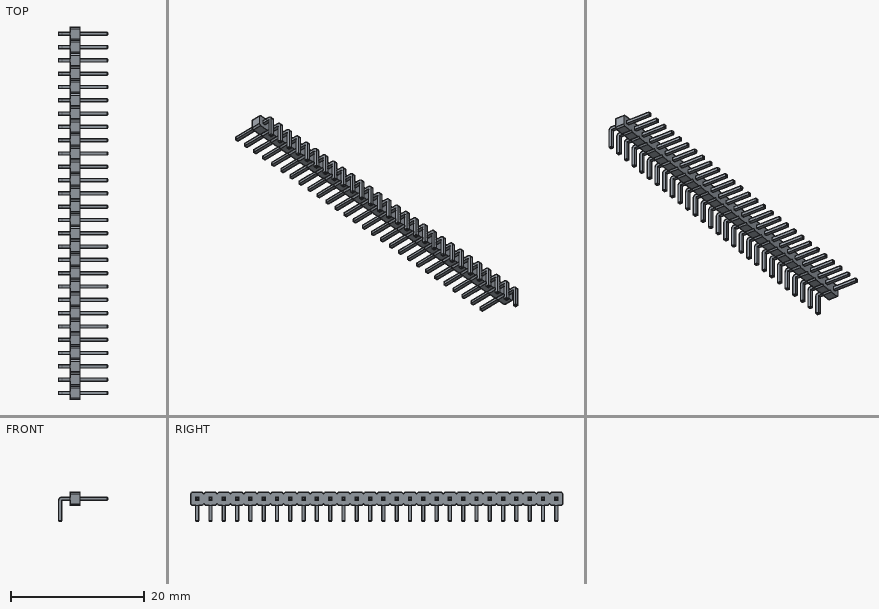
import cadquery as cq

row_length = 56.0
pin_count = 28
pitch = row_length / pin_count

housing_width = 1.5
housing_height = pitch
cell_chamfer = 0.25

pin_size = 0.5
pin_half = pin_size / 2
bend_radius = pin_size
tip_chamfer = pin_size / 4
overall_width = 7.45
overall_height = 4.4
leg_to_housing = 1.75

leg_outer_x = -pin_half
leg_inner_x = pin_half
leg_bottom_z = housing_height - overall_height
housing_left_x = leg_outer_x + leg_to_housing
pin_tip_x = leg_outer_x + overall_width
pin_bottom_z = housing_height / 2 - pin_half
pin_top_z = pin_bottom_z + pin_size
row_start_y = -row_length / 2


def make_housing():
    """Bar along Y whose top and bottom carry a V-groove between neighbouring cells."""
    top_edge = []
    bottom_edge = []
    for index in range(pin_count):
        cell_start = row_start_y + index * pitch
        cell_end = cell_start + pitch
        top_edge += [
            (cell_start, housing_height - cell_chamfer),
            (cell_start + cell_chamfer, housing_height),
            (cell_end - cell_chamfer, housing_height),
        ]
        bottom_edge += [
            (cell_start, cell_chamfer),
            (cell_start + cell_chamfer, 0),
            (cell_end - cell_chamfer, 0),
        ]
    row_end_y = row_start_y + row_length
    end_face = [(row_end_y, housing_height - cell_chamfer), (row_end_y, cell_chamfer)]
    outline = top_edge + end_face + bottom_edge[::-1]
    return cq.Workplane("YZ", origin=(housing_left_x, 0, 0)).polyline(outline).close().extrude(housing_width)


def make_pin():
    """L-shaped square pin with a rounded outer bend and tapered tips."""
    pin = (
        cq.Workplane("XZ")
        .moveTo(leg_outer_x, leg_bottom_z)
        .lineTo(leg_outer_x, pin_top_z - bend_radius)
        .radiusArc((leg_outer_x + bend_radius, pin_top_z), bend_radius)
        .lineTo(pin_tip_x, pin_top_z)
        .lineTo(pin_tip_x, pin_bottom_z)
        .lineTo(leg_inner_x, pin_bottom_z)
        .lineTo(leg_inner_x, leg_bottom_z)
        .close()
        .extrude(pin_half, both=True)
    )
    pin = pin.faces("<Z").edges().chamfer(tip_chamfer)
    return pin.faces(">X").edges().chamfer(tip_chamfer)


pin = make_pin().val()
pin_places = [(0, row_start_y + (index + 0.5) * pitch) for index in range(pin_count)]
pins = cq.Workplane("XY").pushPoints(pin_places).eachpoint(lambda place: pin.moved(place))
result = make_housing().union(pins)